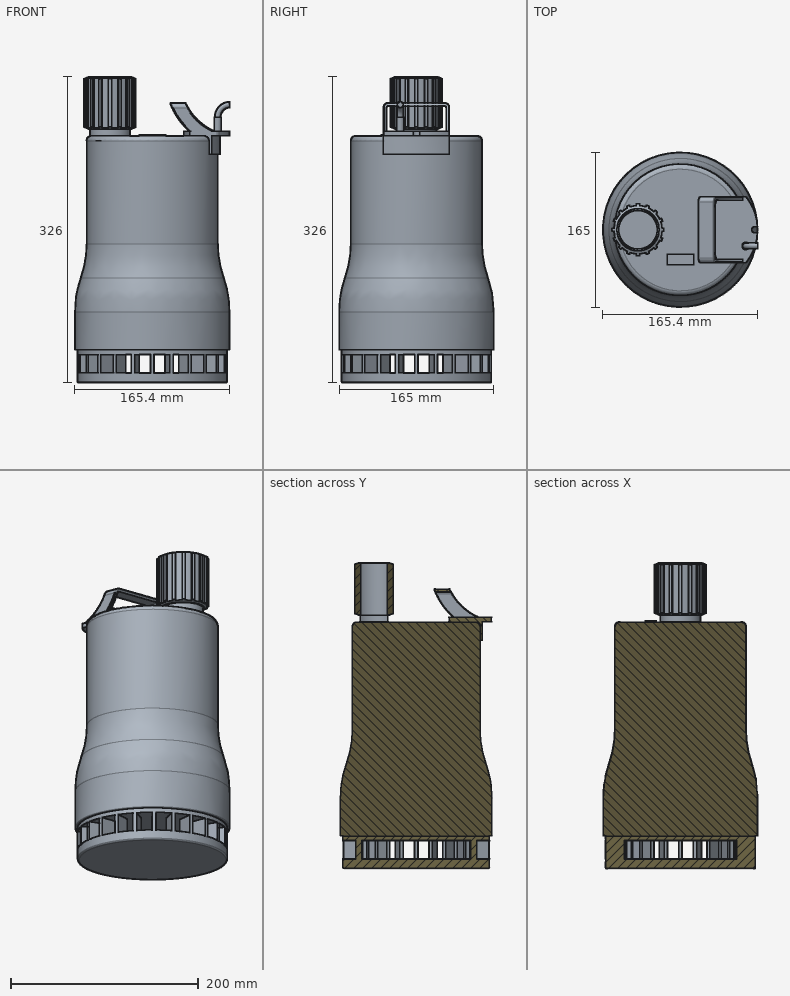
import cadquery as cq
import math

STRAINER_RADIUS = 80.0
STRAINER_HEIGHT = 35.0
STRAINER_INNER_RADIUS = 59.5
SLOT_FLOOR_Z = 10.5
SLOT_ROOF_Z = 30.0
SLOT_COUNT = 24
BAR_THICKNESS = 4.0
STRAINER_EDGE_RADIUS = 1.5

LOWER_RADIUS = 82.5
UPPER_RADIUS = 70.0
SHOULDER_START_Z = 75.5
SHOULDER_END_Z = 148.3
HOUSING_TOP_Z = 263.0
TOP_EDGE_RADIUS = 5.2
BOTTOM_EDGE_RADIUS = 1.0

PORT_X = -45.0
BORE_RADIUS = 20.5
NECK_RADIUS = 21.5
COLLAR_BOTTOM_Z = 270.3
COLLAR_TOP_Z = 326.0
COLLAR_RADIUS = 25.8
COLLAR_END_RADIUS = 22.5
RIB_COUNT = 16
RIB_TIP_RADIUS = 27.7
RIB_WIDTH = 3.3
RIB_END_DROP = 2.3

BRACKET_HALF_WIDTH = 35.2
PLATE_THICKNESS = 5.0
PLATE_TOP_Z = HOUSING_TOP_Z + PLATE_THICKNESS
PLATE_FRONT_X = 33.5
PLATE_FRONT_CORNER_X = 39.8
PLATE_BACK_X = 82.5
PLATE_BACK_CORNER_X = 70.0
PLATE_CORNER_RADIUS = 2.5
NOTCH_WIDTH = 7.0
NOTCH_DEPTH = 6.2
SKIRT_RADIUS = 72.5
SKIRT_BOTTOM_Z = 243.2
HANDLE_TOP_Z = 298.3
HANDLE_TOP_START_X = 19.0
HANDLE_TOP_END_X = 35.5
HANDLE_FRONT_MIDDLE = (27.7, 281.5)
HANDLE_BACK_MIDDLE = (47.3, 281.0)
HANDLE_BACK_FOOT_X = 66.5
HANDLE_THICKNESS = 3.5
HANDLE_BEND_RADIUS = 5.2
HANDLE_EDGE_RADIUS = 1.0

CABLE_X = 69.8
CABLE_Y = -17.3
GLAND_RADIUS = 4.0
GLAND_TOP_Z = 283.0
CABLE_RADIUS = 3.2
CABLE_BEND_RADIUS = 13.5
CABLE_BEND_ANGLE = 88.0

BADGE_LENGTH = 28.7
BADGE_WIDTH = 11.5
BADGE_HEIGHT = 1.0
BADGE_X = 0.3
BADGE_Y = -31.5


def cylinder(radius, bottom_z, top_z, x=0.0, y=0.0):
    return cq.Workplane("XY", origin=(x, y, bottom_z)).circle(radius).extrude(top_z - bottom_z)


def make_strainer():
    """Round foot whose wall is open between radial bars all around."""
    body = cylinder(STRAINER_RADIUS, 0, STRAINER_HEIGHT).faces("<Z").edges().fillet(STRAINER_EDGE_RADIUS)
    slot_band = cylinder(STRAINER_RADIUS, SLOT_FLOOR_Z, SLOT_ROOF_Z)
    inner_chamber = cylinder(STRAINER_INNER_RADIUS, SLOT_FLOOR_Z, SLOT_ROOF_Z)
    spokes = (
        cq.Workplane("XY", origin=(0, 0, SLOT_FLOOR_Z))
        .polarArray(STRAINER_RADIUS / 2, 0, 360, SLOT_COUNT)
        .rect(2 * STRAINER_RADIUS, BAR_THICKNESS)
        .extrude(SLOT_ROOF_Z - SLOT_FLOOR_Z)
    )
    bars = spokes.intersect(slot_band).cut(inner_chamber)
    return body.cut(slot_band).union(bars)


def make_casing():
    """Solid turned housing without its discharge neck."""
    half_height = (SHOULDER_END_Z - SHOULDER_START_Z) / 2
    half_step = (LOWER_RADIUS - UPPER_RADIUS) / 2
    middle = (LOWER_RADIUS - half_step, SHOULDER_START_Z + half_height)
    return (
        cq.Workplane("XZ")
        .moveTo(0, STRAINER_HEIGHT)
        .lineTo(LOWER_RADIUS, STRAINER_HEIGHT)
        .lineTo(LOWER_RADIUS, SHOULDER_START_Z)
        .tangentArcPoint(middle, relative=False)
        .tangentArcPoint((UPPER_RADIUS, SHOULDER_END_Z), relative=False)
        .lineTo(UPPER_RADIUS, HOUSING_TOP_Z)
        .lineTo(0, HOUSING_TOP_Z)
        .close()
        .revolve(360, (0, 0, 0), (0, 1, 0))
        .faces(">Z").edges().fillet(TOP_EDGE_RADIUS)
        .faces("<Z").edges().fillet(BOTTOM_EDGE_RADIUS)
    )


def make_housing():
    neck = cylinder(NECK_RADIUS, HOUSING_TOP_Z - TOP_EDGE_RADIUS, COLLAR_BOTTOM_Z, PORT_X)
    bore = cylinder(BORE_RADIUS, HOUSING_TOP_Z, COLLAR_BOTTOM_Z, PORT_X)
    return make_casing().union(neck).cut(bore)


def make_collar():
    """Ribbed sleeve with conical ends."""
    collar = cylinder(COLLAR_RADIUS, COLLAR_BOTTOM_Z, COLLAR_TOP_Z)
    ribs = (
        cq.Workplane("XY", origin=(0, 0, COLLAR_BOTTOM_Z))
        .polarArray(RIB_TIP_RADIUS / 2, 0, 360, RIB_COUNT)
        .rect(RIB_TIP_RADIUS, RIB_WIDTH)
        .extrude(COLLAR_TOP_Z - COLLAR_BOTTOM_Z)
    )
    envelope = (
        cq.Workplane("XZ")
        .moveTo(0, COLLAR_BOTTOM_Z)
        .lineTo(COLLAR_END_RADIUS, COLLAR_BOTTOM_Z)
        .lineTo(RIB_TIP_RADIUS, COLLAR_BOTTOM_Z + RIB_END_DROP)
        .lineTo(RIB_TIP_RADIUS, COLLAR_TOP_Z - RIB_END_DROP)
        .lineTo(COLLAR_END_RADIUS, COLLAR_TOP_Z)
        .lineTo(0, COLLAR_TOP_Z)
        .close()
        .revolve(360, (0, 0, 0), (0, 1, 0))
    )
    bore = cylinder(BORE_RADIUS, COLLAR_BOTTOM_Z, COLLAR_TOP_Z)
    return collar.union(ribs).intersect(envelope).cut(bore).translate((PORT_X, 0, 0))


def make_plate():
    """Base plate of the bracket with curved front and back edges and a cable notch."""
    half = BRACKET_HALF_WIDTH
    plate = (
        cq.Workplane("XY", origin=(0, 0, HOUSING_TOP_Z))
        .moveTo(PLATE_FRONT_CORNER_X, -half)
        .lineTo(PLATE_BACK_CORNER_X, -half)
        .threePointArc((PLATE_BACK_X, 0), (PLATE_BACK_CORNER_X, half))
        .lineTo(PLATE_FRONT_CORNER_X, half)
        .threePointArc((PLATE_FRONT_X, 0), (PLATE_FRONT_CORNER_X, -half))
        .close()
        .extrude(PLATE_THICKNESS)
    )
    notch = (
        cq.Workplane("XY", origin=(PLATE_BACK_X, 0, HOUSING_TOP_Z))
        .slot2D(2 * NOTCH_DEPTH, NOTCH_WIDTH)
        .extrude(PLATE_THICKNESS)
    )
    return plate.edges("|Z").edges(">X").fillet(PLATE_CORNER_RADIUS).cut(notch)


def make_handle():
    """Strap bent into two curved side walls and a flat grip across them."""
    half = BRACKET_HALF_WIDTH
    strap = (
        cq.Workplane("XZ", origin=(0, half, 0))
        .moveTo(HANDLE_TOP_START_X, HANDLE_TOP_Z)
        .threePointArc(HANDLE_FRONT_MIDDLE, (PLATE_FRONT_CORNER_X, PLATE_TOP_Z))
        .lineTo(HANDLE_BACK_FOOT_X, PLATE_TOP_Z)
        .threePointArc(HANDLE_BACK_MIDDLE, (HANDLE_TOP_END_X, HANDLE_TOP_Z))
        .close()
        .extrude(2 * half)
        .faces(">Z").edges("|X").fillet(HANDLE_BEND_RADIUS)
    )
    opening_height = HANDLE_TOP_Z - HANDLE_THICKNESS - PLATE_TOP_Z
    opening = (
        cq.Workplane("YZ")
        .center(0, PLATE_TOP_Z + opening_height / 2)
        .rect(2 * (half - HANDLE_THICKNESS), opening_height)
        .extrude(PLATE_BACK_X)
        .faces(">Z").edges("|X").fillet(HANDLE_BEND_RADIUS - HANDLE_THICKNESS)
    )
    for middle_x, middle_z in (HANDLE_FRONT_MIDDLE, HANDLE_BACK_MIDDLE):
        curved_face = cq.NearestToPointSelector((middle_x, 0, middle_z))
        strap = strap.faces(curved_face).edges("not <Z").fillet(HANDLE_EDGE_RADIUS)
    return strap.cut(opening)


def make_bracket():
    skirt_span = cq.Workplane("XY", origin=(0, -BRACKET_HALF_WIDTH, SKIRT_BOTTOM_Z)).box(
        SKIRT_RADIUS, 2 * BRACKET_HALF_WIDTH, HOUSING_TOP_Z - SKIRT_BOTTOM_Z, centered=False
    )
    skirt = cylinder(SKIRT_RADIUS, SKIRT_BOTTOM_Z, HOUSING_TOP_Z).intersect(skirt_span)
    return make_plate().union(make_handle()).union(skirt).cut(make_casing())


def make_gland():
    return cylinder(GLAND_RADIUS, PLATE_TOP_Z, GLAND_TOP_Z, CABLE_X, CABLE_Y)


def make_cable():
    """Round cable leaving the gland upward, then bending outward."""
    start = (CABLE_X, CABLE_Y, GLAND_TOP_Z)
    full_angle = math.radians(CABLE_BEND_ANGLE)

    def bend_point(angle):
        return CABLE_BEND_RADIUS * (1 - math.cos(angle)), CABLE_BEND_RADIUS * math.sin(angle)

    path = (
        cq.Workplane("XZ", origin=start)
        .moveTo(0, 0)
        .threePointArc(bend_point(full_angle / 2), bend_point(full_angle))
    )
    return cq.Workplane("XY", origin=start).circle(CABLE_RADIUS).sweep(path)


def make_badge():
    return cq.Workplane("XY", origin=(BADGE_X, BADGE_Y, HOUSING_TOP_Z)).box(
        BADGE_LENGTH, BADGE_WIDTH, BADGE_HEIGHT, centered=(True, True, False)
    )


strainer = make_strainer()
housing = make_housing()
collar = make_collar()
bracket = make_bracket()
gland = make_gland()
cable = make_cable()
badge = make_badge()

result = cq.Compound.makeCompound(
    [
        strainer.val(),
        housing.val(),
        collar.val(),
        bracket.val(),
        gland.val(),
        cable.val(),
        badge.val(),
    ]
)